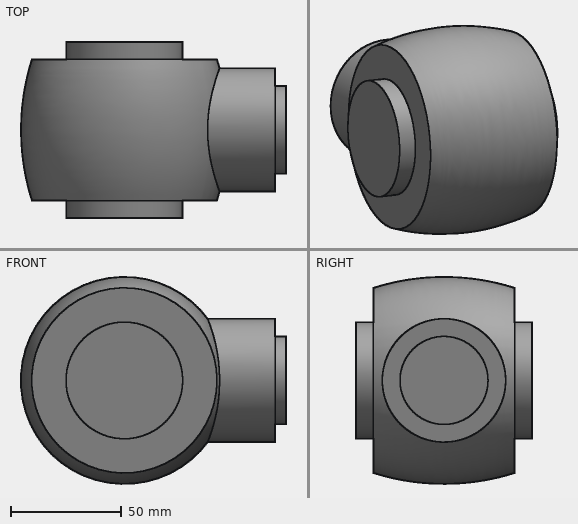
import cadquery as cq

total_length = 120.4
barrel_mid_radius = 47.02
barrel_end_radius = 42.0
barrel_width = 64.0
pin_diameter = 53.0
pin_projection = 8.0
neck_diameter = 56.0
rod_diameter = 40.0
rod_projection = 4.9

rod_end_x = total_length - barrel_mid_radius
neck_end_x = rod_end_x - rod_projection
pin_length = barrel_width + 2 * pin_projection
rod_start_x = barrel_mid_radius


def cylinder_along_x(diameter, start_x, end_x):
    return cq.Workplane("YZ", origin=(start_x, 0, 0)).circle(diameter / 2).extrude(end_x - start_x)


def make_pin():
    """Straight pin centred in the barrel and standing out on both sides."""
    return cq.Workplane("XZ").circle(pin_diameter / 2).extrude(pin_length / 2, both=True)


def make_rod():
    """Round rod that sits in the neck and stands out past its end."""
    return cylinder_along_x(rod_diameter, rod_start_x, rod_end_x)


def make_barrel():
    """Solid of revolution about Y whose outer wall bulges in an arc."""
    half_width = barrel_width / 2
    return (
        cq.Workplane("XY")
        .moveTo(0, -half_width)
        .lineTo(barrel_end_radius, -half_width)
        .threePointArc((barrel_mid_radius, 0), (barrel_end_radius, half_width))
        .lineTo(0, half_width)
        .close()
        .revolve(360, (0, 0, 0), (0, 1, 0))
    )


def make_housing(pin, rod):
    """Barrel and neck in one piece, with a through bore for the pin and a blind one for the rod."""
    neck = cylinder_along_x(neck_diameter, 0, neck_end_x)
    return make_barrel().union(neck).cut(pin).cut(rod)


pin = make_pin()
rod = make_rod()
housing = make_housing(pin, rod)

result = cq.Compound.makeCompound([housing.val(), pin.val(), rod.val()])